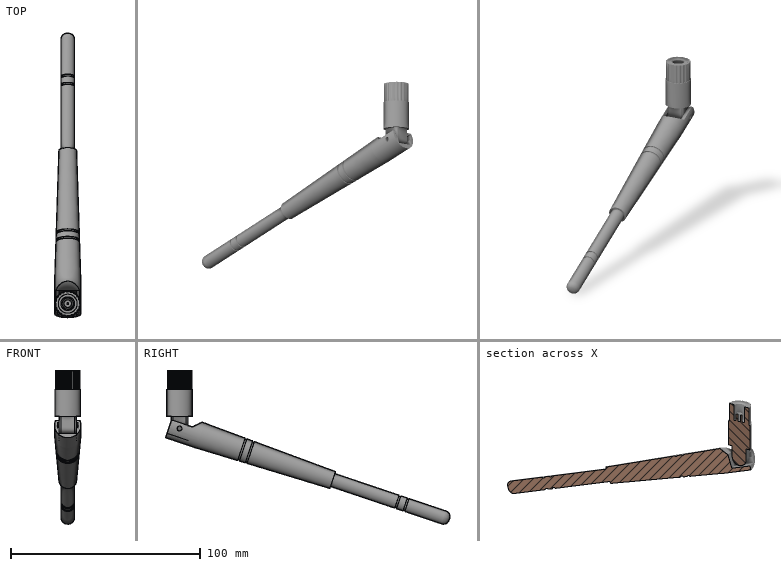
import cadquery as cq
import math


arm_droop = 18.6
fork_diameter = 14.0
sleeve_tip_diameter = 9.5
whip_diameter = 7.25
fork_end = -5.5
sleeve_start = 11.8
sleeve_end = 85.4
whip_end = 150.47
whip_tip_fillet = 3.0

groove_width = 1.0
groove_depth = 0.5
sleeve_groove_stations = (35.0, 39.2)
whip_groove_stations = (121.7, 126.3)

fork_flat_height = 3.0
fork_shoulder = 6.2
shoulder_rise = 45.0
slot_width = 9.2
fork_tip_fillet = 1.0
pin_track_height = 2.75
slot_floor = -4.5

pin_diameter = 2.5
pin_length = 11.0

barrel_diameter = 13.5
barrel_bottom = 6.4
knurl_bottom = 20.6
connector_top = 30.6
knurl_root_diameter = 12.4
knurl_crest_diameter = 13.0
knurl_teeth = 20
knurl_land_share = 0.25

tongue_width = 9.0
tongue_chamfer = 1.0
tongue_top = 9.0
foot_axis_height = 0.5

insert_diameter = 10.0
insert_bore_diameter = 10.01
socket_diameter = 6.0
socket_mouth_diameter = 7.25
socket_chamfer = 0.5
socket_depth = 9.0
post_diameter = 4.0
post_height = 4.0
contact_hole_diameter = 1.0


def cylinder(diameter, bottom, top):
    """Upright cylinder on the Z axis between two heights."""
    return cq.Workplane("XY").workplane(offset=bottom).circle(diameter / 2).extrude(top - bottom)


def ring(outer_diameter, inner_diameter, bottom, top):
    """Upright ring on the Z axis between two heights."""
    return cylinder(outer_diameter, bottom, top).cut(cylinder(inner_diameter, bottom, top))


def make_arm_blank():
    """Fork barrel, tapered sleeve and round-tipped whip, turned about +Y."""
    fork_radius = fork_diameter / 2
    whip_radius = whip_diameter / 2
    outline = (
        cq.Workplane("XY")
        .moveTo(0, fork_end)
        .lineTo(fork_radius, fork_end)
        .lineTo(fork_radius, sleeve_start)
        .lineTo(sleeve_tip_diameter / 2, sleeve_end)
        .lineTo(whip_radius, sleeve_end)
        .lineTo(whip_radius, whip_end - whip_tip_fillet)
        .radiusArc((whip_radius - whip_tip_fillet, whip_end), -whip_tip_fillet)
        .lineTo(0, whip_end)
        .close()
    )
    return outline.revolve(360, (0, 0, 0), (0, 1, 0))


def make_groove(station, surface_diameter):
    """Ring around the arm axis that cuts a square groove centred on a station."""
    start = station - groove_width / 2
    return (
        cq.Workplane("XZ", origin=(0, start, 0))
        .circle(fork_diameter)
        .circle(surface_diameter / 2 - groove_depth)
        .extrude(-groove_width)
    )


def sleeve_diameter_at(station):
    """Diameter of the tapered sleeve at a station."""
    fraction = (station - sleeve_start) / (sleeve_end - sleeve_start)
    return fork_diameter + fraction * (sleeve_tip_diameter - fork_diameter)


def make_fork_relief():
    """Open space above the fork arms: rounded at their tips, closed by the sloping shoulder."""
    relief_top = fork_diameter
    outer_end = 2 * fork_end
    shoulder_run = (relief_top - fork_flat_height) / math.tan(math.radians(shoulder_rise))
    return (
        cq.Workplane("YZ")
        .moveTo(fork_end, fork_flat_height - fork_tip_fillet)
        .radiusArc((fork_end + fork_tip_fillet, fork_flat_height), fork_tip_fillet)
        .lineTo(fork_shoulder, fork_flat_height)
        .lineTo(fork_shoulder + shoulder_run, relief_top)
        .lineTo(outer_end, relief_top)
        .lineTo(outer_end, fork_flat_height - fork_tip_fillet)
        .close()
        .extrude(fork_diameter, both=True)
    )


def make_fork_slot():
    """Slot between the two fork arms, open at the end and above."""
    slot_length = fork_shoulder - fork_end
    slot_height = fork_diameter / 2 - slot_floor
    slot = cq.Workplane("XY").box(slot_width, slot_length, slot_height, centered=(True, False, False))
    return slot.translate((0, fork_end, slot_floor))


def make_pin_hole():
    """Cross hole for the hinge pin through both fork arms."""
    return cq.Workplane("YZ").circle(pin_diameter / 2).extrude(fork_diameter, both=True)


def make_pin_track():
    """Shallow track in both slot walls that lets the pin slide in from the fork end."""
    return cq.Workplane("XY").box(pin_length, -fork_end, pin_track_height).translate((0, fork_end / 2, 0))


def make_arm():
    arm = make_arm_blank()
    for station in sleeve_groove_stations:
        arm = arm.cut(make_groove(station, sleeve_diameter_at(station)))
    for station in whip_groove_stations:
        arm = arm.cut(make_groove(station, whip_diameter))
    arm = arm.cut(make_fork_relief())
    arm = arm.cut(make_fork_slot()).cut(make_pin_hole()).cut(make_pin_track())
    return arm.rotate((0, 0, 0), (1, 0, 0), -arm_droop)


def make_knurl():
    """Ring of flat-topped teeth around the upper part of the connector."""
    pitch = 2 * math.pi / knurl_teeth
    root_radius = knurl_root_diameter / 2
    crest_radius = knurl_crest_diameter / 2
    tooth_corners = (
        (0, root_radius),
        (knurl_land_share, root_radius),
        (0.5, crest_radius),
        (0.5 + knurl_land_share, crest_radius),
    )
    points = []
    for tooth in range(knurl_teeth):
        for share, radius in tooth_corners:
            angle = (tooth + share) * pitch
            points.append((radius * math.cos(angle), radius * math.sin(angle)))
    height = connector_top - knurl_bottom
    return cq.Workplane("XY").workplane(offset=knurl_bottom).polyline(points).close().extrude(height)


def make_tongue():
    """Square neck with a round foot; the edges around both side faces are chamfered."""
    half_width = tongue_width / 2
    profile = (
        cq.Workplane("YZ", origin=(-half_width, 0, 0))
        .moveTo(-half_width, tongue_top)
        .lineTo(-half_width, foot_axis_height)
        .threePointArc((0, foot_axis_height - half_width), (half_width, foot_axis_height))
        .lineTo(half_width, tongue_top)
        .close()
        .extrude(tongue_width)
    )
    return profile.faces("<X or >X").chamfer(tongue_chamfer)


def make_pin():
    """Hinge pin, flush with the bottom of the tracks in the fork."""
    return cq.Workplane("YZ").circle(pin_diameter / 2).extrude(pin_length / 2, both=True)


def make_socket():
    """Blind bore in the top of the connector with a chamfered mouth."""
    bore = cylinder(socket_diameter, connector_top - socket_depth, connector_top)
    mouth = (
        cq.Workplane("XY")
        .workplane(offset=connector_top)
        .circle(socket_mouth_diameter / 2)
        .workplane(offset=-socket_chamfer)
        .circle(socket_diameter / 2)
        .loft()
    )
    return bore.union(mouth)


def make_connector():
    connector = cylinder(barrel_diameter, barrel_bottom, knurl_bottom).union(make_knurl())
    socket_floor = connector_top - socket_depth
    connector = connector.cut(make_socket())
    post_top = socket_floor + post_height
    connector = connector.union(ring(post_diameter, contact_hole_diameter, socket_floor, post_top))
    connector = connector.cut(ring(insert_bore_diameter, insert_diameter, knurl_bottom, connector_top))
    return connector.union(make_tongue()).union(make_pin())


arm = make_arm()
connector = make_connector()

result = cq.Compound.makeCompound([arm.solids().val(), connector.solids().val()])